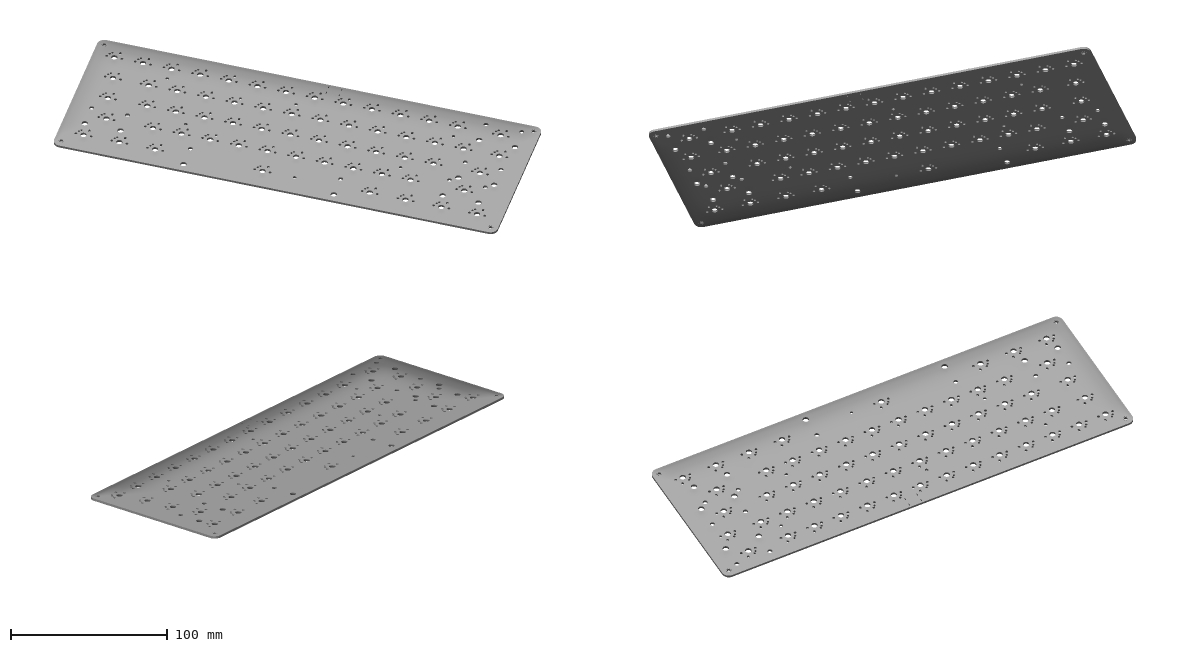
import cadquery as cq
import math

LENGTH = 295.3
COLUMNS = 15
ROWS = 5
MARGIN_UNITS = 1 / 4
PITCH = LENGTH / (COLUMNS + 2 * MARGIN_UNITS)
MARGIN = MARGIN_UNITS * PITCH
PIN_STEP = PITCH / 15

WIDTH = ROWS * PITCH + 2 * MARGIN
THICKNESS = 1.6
CORNER_RADIUS = MARGIN

SPACE_BAR_KEY = 25 / 4

KEY_WIDTHS = [
    [1] * 13 + [2],
    [3 / 2] + [1] * 12 + [3 / 2],
    [7 / 4] + [1] * 11 + [9 / 4],
    [9 / 4] + [1] * 10 + [11 / 4],
    [5 / 4] * 3 + [SPACE_BAR_KEY] + [5 / 4] * 4,
]

STEM_RADIUS = 2.0
SIDE_PIN_DIAMETER = 1.75
SIDE_PIN_OFFSET = 4 * PIN_STEP
CONTACT_DIAMETER = 1.5
LEFT_CONTACT = (-3 * PIN_STEP, 2 * PIN_STEP)
CONTACT_SHIFT_X = 1.3
CONTACT_SHIFT_Y = 1.45
SECOND_LEFT_CONTACT = (LEFT_CONTACT[0] + CONTACT_SHIFT_X, LEFT_CONTACT[1] + CONTACT_SHIFT_Y)
RIGHT_SLOT_TOP = (2 * PIN_STEP, 4 * PIN_STEP)
RIGHT_SLOT_SPAN = 0.5

WIDE_KEY = 2
STABILISER_SPREAD = 5 / 8 * PITCH
SPACE_BAR_SPREAD = 21 / 8 * PITCH
STABILISER_SMALL_RADIUS = 1.55
STABILISER_SMALL_RISE = 5.5 * PIN_STEP
STABILISER_LARGE_RADIUS = 2.0
STABILISER_LARGE_DROP = 6.5 * PIN_STEP

MOUNT_DIAMETER = 2.2
MOUNT_PLACES = [(2.5, 1), (7, 1), (12.5, 1), (15 / 4, 3), (45 / 4, 3), (8, 4.5)]

CORNER_INSET = MARGIN
RING_COUNT = 8
RING_RADIUS = 1.65
RING_HOLE_DIAMETER = 0.4

CONNECTOR_X = 10.0
CONNECTOR_HALF_WIDTH = 3.4 * PIN_STEP
SLOT_WIDTH = 0.5
SLOT_LENGTH = 1.8
SLOT_INSET = 2.2
SLOT_SPACING = 5.3
SLOTS_PER_SIDE = 2


def grid_point(column, row):
    """Point at a place counted in key units from the top left of the grid."""
    return ((column - COLUMNS / 2) * PITCH, (ROWS / 2 - row) * PITCH)


def shifted(points, dx, dy):
    """The same points, all moved by dx and dy."""
    return [(x + dx, y + dy) for x, y in points]


def key_places():
    """Centre and width in key units of every key; each row fills the grid from its left side."""
    keys = []
    for row, widths in enumerate(KEY_WIDTHS):
        left = 0
        for width in widths:
            keys.append((grid_point(left + width / 2, row + 0.5), width))
            left += width
    return keys


def round_holes(profile, points, diameter):
    return profile.pushPoints(points).circle(diameter / 2)


def upright_slots(profile, points, length, width):
    return profile.pushPoints(points).slot2D(length, width, 90)


def switch_holes(profile):
    keys = [centre for centre, _ in key_places()]
    profile = round_holes(profile, keys, 2 * STEM_RADIUS)
    for side in (-1, 1):
        profile = round_holes(profile, shifted(keys, side * SIDE_PIN_OFFSET, 0), SIDE_PIN_DIAMETER)
    for dx, dy in (LEFT_CONTACT, SECOND_LEFT_CONTACT):
        profile = round_holes(profile, shifted(keys, dx, dy), CONTACT_DIAMETER)
    slot_x, slot_top = RIGHT_SLOT_TOP
    slots = shifted(keys, slot_x, slot_top - RIGHT_SLOT_SPAN / 2)
    return upright_slots(profile, slots, CONTACT_DIAMETER + RIGHT_SLOT_SPAN, CONTACT_DIAMETER)


def stabiliser_holes(profile):
    for centre, width in key_places():
        if width < WIDE_KEY:
            continue
        spread = SPACE_BAR_SPREAD if width == SPACE_BAR_KEY else STABILISER_SPREAD
        pair = shifted([centre], -spread, 0) + shifted([centre], spread, 0)
        small = shifted(pair, 0, STABILISER_SMALL_RISE)
        large = shifted(pair, 0, -STABILISER_LARGE_DROP)
        profile = round_holes(profile, small, 2 * STABILISER_SMALL_RADIUS)
        profile = round_holes(profile, large, 2 * STABILISER_LARGE_RADIUS)
    return profile


def mounting_holes(profile):
    corner_x = LENGTH / 2 - CORNER_INSET
    corner_y = WIDTH / 2 - CORNER_INSET
    corners = [(sx * corner_x, sy * corner_y) for sx in (-1, 1) for sy in (-1, 1)]
    places = [grid_point(column, row) for column, row in MOUNT_PLACES]
    profile = round_holes(profile, places + corners, MOUNT_DIAMETER)
    for i in range(RING_COUNT):
        angle = 2 * math.pi * i / RING_COUNT
        ring = shifted(corners, RING_RADIUS * math.cos(angle), RING_RADIUS * math.sin(angle))
        profile = round_holes(profile, ring, RING_HOLE_DIAMETER)
    return profile


def connector_slots(profile):
    for side in (-1, 1):
        x = CONNECTOR_X + side * CONNECTOR_HALF_WIDTH
        points = [(x, WIDTH / 2 - SLOT_INSET - i * SLOT_SPACING) for i in range(SLOTS_PER_SIDE)]
        profile = upright_slots(profile, points, SLOT_LENGTH, SLOT_WIDTH)
    return profile


plate = cq.Workplane("XY").rect(LENGTH, WIDTH).extrude(THICKNESS).edges("|Z").fillet(CORNER_RADIUS)

holes = cq.Workplane("XY")
for add_holes in (switch_holes, stabiliser_holes, mounting_holes, connector_slots):
    holes = add_holes(holes)

result = plate.cut(holes.extrude(THICKNESS))